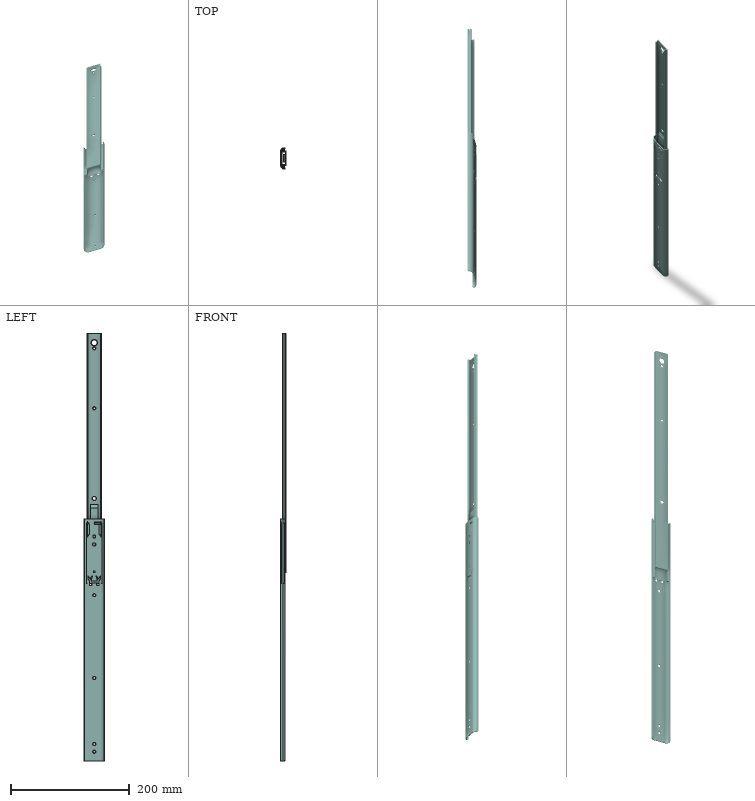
import cadquery as cq
import math

total_length = 721.4
total_depth = 9.6
total_width = 35.3

outer_length = 408.5
outer_depth = 8.0
outer_wall = 1.2
outer_web_half = 11.5
outer_half = total_width / 2
outer_bulge_depth = 4.6
outer_bulge_sagitta = 0.9
outer_lip_chamfer = 1.8

inner_length = 403.0
inner_bottom = total_length - inner_length
inner_front = 3.4
inner_wall = 1.2
inner_half = 12.3
inner_web_inside = total_depth - inner_wall
groove_sagitta = 0.9
groove_margin = 0.8

outer_holes = [(379.0, 5.0), (365.5, 5.5), (280.0, 4.5), (140.5, 4.5), (29.0, 4.5), (16.0, 4.5)]
inner_holes = [(705.5, 10.0), (696.0, 4.5), (595.0, 4.5), (443.0, 6.5)]

recess_bottom = 378.0
recess_top = 404.0
recess_slope = 6.0
recess_inner_y = 7.8
recess_depth = 0.6

slot_bottom = 399.5
slot_height = 3.6
slot_length = 10.5

tongue_top = 312.5
tongue_waist = 306.0
tongue_end = 303.5
tongue_end_gap = 3.0
tongue_root_half = 2.6
tongue_waist_half = 5.2
tongue_end_half = 4.4
tongue_slit = 1.2
side_slot_bottom = 296.5
side_slot_width = 3.6
side_slot_reach = 10.6
side_slot_mouth = 4.5
pin_hole_height = 319.5
pin_hole_diameter = 3.0

latch_bottom = 330.0
latch_top = 433.0
latch_ramp = 6.0
latch_half = 6.6
latch_thickness = 2.8

cage_bottom = 299.5
cage_top = 402.0
cage_web_start = 2.0
cage_wall = 0.6
cage_gap = 0.15
cage_arm_start = 4.7
cage_arm_end = 7.2


def cylinder_along_x(height, diameter):
    """Round cutter through the whole depth on the centre line."""
    return (cq.Workplane("YZ").center(0, height).circle(diameter / 2)
            .extrude(total_depth))


def box_between(x_range, y_range, z_range):
    """Box given by its low and high value along each axis."""
    (x0, x1), (y0, y1), (z0, z1) = x_range, y_range, z_range
    return cq.Workplane("XY").box(x1 - x0, y1 - y0, z1 - z0, centered=False).translate((x0, y0, z0))


def outer_outline(inset):
    """Closed section of the outer rail, moved inward by the wall thickness."""
    side = outer_half - inset
    web = outer_web_half - inset / 2
    run = outer_bulge_depth - inset
    rise = side - web
    chord = math.hypot(run, rise)
    bulge = (inset + run / 2 - outer_bulge_sagitta * rise / chord,
             web + rise / 2 + outer_bulge_sagitta * run / chord)
    return (cq.Workplane("XY").moveTo(inset, -web).lineTo(inset, web)
            .threePointArc(bulge, (outer_bulge_depth, side))
            .lineTo(outer_depth, side).lineTo(outer_depth, -side)
            .lineTo(outer_bulge_depth, -side)
            .threePointArc((bulge[0], -bulge[1]), (inset, -web)).close())


def cut_tongue(rail):
    """Free the spring tongue: a forked slot on each side and a gap under its end."""
    side_slot_outside = tongue_end_half + side_slot_width
    for side in (-1, 1):
        corners = [
            (tongue_end_half, side_slot_bottom),
            (tongue_end_half, tongue_end),
            (tongue_waist_half, tongue_waist),
            (tongue_root_half, tongue_top),
            (tongue_root_half + tongue_slit, tongue_top),
            (tongue_waist_half + tongue_slit, tongue_waist + tongue_slit),
            (side_slot_reach, tongue_top),
            (side_slot_reach, tongue_top - side_slot_mouth),
            (side_slot_outside, tongue_end),
            (side_slot_outside, side_slot_bottom),
        ]
        points = [(side * y, z) for y, z in corners]
        rail = rail.cut(cq.Workplane("YZ").polyline(points).close().extrude(outer_wall))
    end_gap = box_between((0, outer_wall), (-tongue_end_half, tongue_end_half),
                          (tongue_end - tongue_end_gap, tongue_end))
    return rail.cut(end_gap)


def make_outer_rail():
    rail = outer_outline(0).extrude(outer_length)
    rail = rail.cut(outer_outline(outer_wall).extrude(outer_length))
    corner = (cq.Workplane("XZ").moveTo(outer_depth, 0).lineTo(outer_depth - outer_lip_chamfer, 0)
              .lineTo(outer_depth, outer_lip_chamfer).close().extrude(outer_half, both=True))
    rail = rail.cut(corner)
    for height, diameter in outer_holes:
        rail = rail.cut(cylinder_along_x(height, diameter))
    for side in (-1, 1):
        recess = (cq.Workplane("YZ").moveTo(side * outer_web_half, recess_bottom)
                  .lineTo(side * recess_inner_y, recess_bottom + recess_slope)
                  .lineTo(side * recess_inner_y, recess_top - recess_slope)
                  .lineTo(side * outer_web_half, recess_top).close().extrude(recess_depth))
        rail = rail.cut(recess)
    slot = box_between((0, outer_wall), (-slot_length, 0), (slot_bottom, slot_bottom + slot_height))
    return cut_tongue(rail.cut(slot)).cut(cylinder_along_x(pin_hole_height, pin_hole_diameter))


def inner_outline(inset):
    """Section of the inner rail: a channel whose sides carry a ball groove."""
    side = inner_half - inset
    back = total_depth - inset
    groove_start = inner_front + groove_margin
    groove_end = total_depth - inner_wall - groove_margin
    groove_mid = (groove_start + groove_end) / 2
    groove_floor = side - groove_sagitta
    return (cq.Workplane("XY").moveTo(inner_front, side).lineTo(groove_start, side)
            .threePointArc((groove_mid, groove_floor), (groove_end, side))
            .lineTo(back, side).lineTo(back, -side).lineTo(groove_end, -side)
            .threePointArc((groove_mid, -groove_floor), (groove_start, -side))
            .lineTo(inner_front, -side).close())


def make_inner_rail():
    rail = inner_outline(0).extrude(inner_length).cut(inner_outline(inner_wall).extrude(inner_length))
    rail = rail.translate((0, 0, inner_bottom))
    for height, diameter in inner_holes:
        rail = rail.cut(cylinder_along_x(height, diameter))
    return rail


def make_latch():
    """Flat strip on the inner web with a ramp at its upper end."""
    front = inner_web_inside - latch_thickness
    return (cq.Workplane("XZ").moveTo(inner_web_inside, latch_bottom).lineTo(front, latch_bottom)
            .lineTo(front, latch_top - latch_ramp).lineTo(inner_web_inside, latch_top).close()
            .extrude(latch_half, both=True))


def make_cage():
    """Channel that keeps the balls: a thin web and two arms that fill the ball tracks."""
    arm_inside = inner_half + cage_gap
    arm_outside = outer_half - outer_wall - cage_gap
    web_half = arm_inside + cage_wall
    z_range = (cage_bottom, cage_top)
    cage = box_between((cage_web_start, cage_web_start + cage_wall), (-web_half, web_half), z_range)
    for side in (-1, 1):
        leg_y = sorted((side * arm_inside, side * web_half))
        arm_y = sorted((side * arm_inside, side * arm_outside))
        cage = cage.union(box_between((cage_web_start, cage_arm_start), leg_y, z_range))
        cage = cage.union(box_between((cage_arm_start, cage_arm_end), arm_y, z_range))
    return cage


outer_rail = make_outer_rail()
inner_rail = make_inner_rail()
latch = make_latch()
cage = make_cage()

result = cq.Compound.makeCompound([
    outer_rail.val(), inner_rail.val(), latch.val(), cage.val(),
])